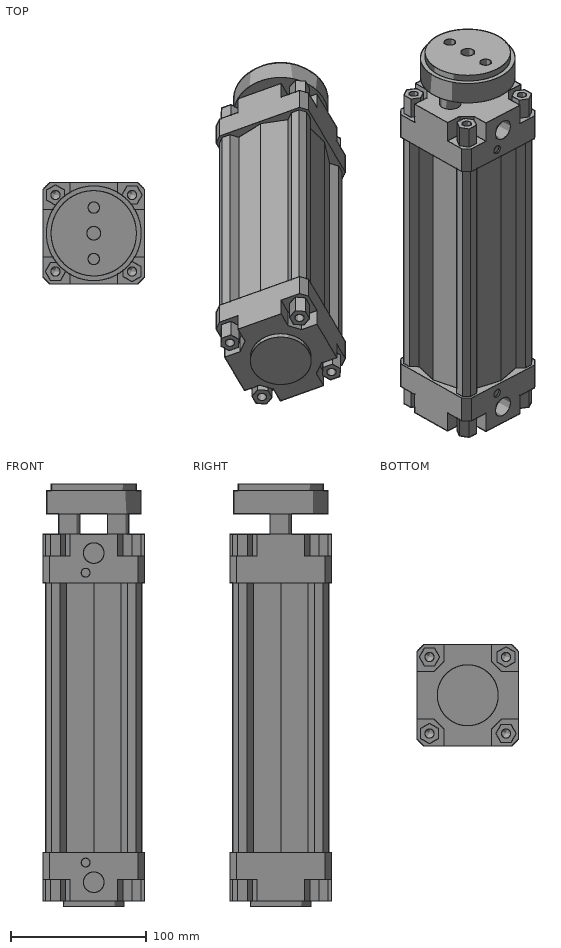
import cadquery as cq
import math


cap_size = 75.0
cap_chamfer = 5.0
cap_height = 36.0
cap_to_cap_length = 271.0

pocket_depth = 16.0
land_width = 35.0
pocket_corner_cut = 7.5

nut_spacing = 56.5
nut_across_flats = 13.0
nut_hole_diameter = 6.75
nut_hole_depth = pocket_depth
drill_point_angle = 118.0

port_diameter = 15.2
port_depth = 12.0
port_from_end = 14.0
screw_hole_diameter = 6.5
screw_hole_depth = 1.5
screw_hole_from_end = 28.5
screw_hole_x = -6.0

barrel_size = 71.0
barrel_chamfer = 4.2
barrel_flat_end = 25.0
groove_depth = 5.0

boss_diameter = 45.0
boss_height = 4.0

rod_diameter = 16.0
rod_spacing = 36.0
rod_visible_length = 15.0
flange_diameter = 70.0
flange_height = 17.0
pilot_diameter = 63.0
pilot_height = 5.0
center_hole_diameter = 10.11
side_hole_diameter = 8.38
side_hole_spacing = 38.0

half_cap = cap_size / 2
half_barrel = barrel_size / 2
half_land = land_width / 2
half_nut_spacing = nut_spacing / 2
nut_across_corners = nut_across_flats / math.cos(math.pi / 6)
barrel_length = cap_to_cap_length - 2 * cap_height
quarter_turns = [0, 90, 180, 270]


def turned(body, angle):
    """Turn a workplane body about the Z axis."""
    return body.rotate((0, 0, 0), (0, 0, 1), angle)


def make_corner_pocket():
    """Pocket volume at the (-X, -Y) corner of the upper cap."""
    inner_cut = half_land + pocket_corner_cut
    return (
        cq.Workplane("XY")
        .workplane(offset=cap_to_cap_length - pocket_depth)
        .polyline([
            (-half_cap, -half_cap),
            (-half_land, -half_cap),
            (-half_land, -inner_cut),
            (-inner_cut, -half_land),
            (-half_cap, -half_land),
        ])
        .close()
        .extrude(pocket_depth)
    )


def make_nut():
    """Hexagonal nut at the (-X, -Y) corner, with two corners pointing along X."""
    return (
        cq.Workplane("XY")
        .workplane(offset=cap_to_cap_length - pocket_depth)
        .center(-half_nut_spacing, -half_nut_spacing)
        .polygon(6, nut_across_corners)
        .extrude(pocket_depth)
    )


def make_nut_hole():
    """Blind drilled hole with a conical bottom, at the (-X, -Y) corner."""
    radius = nut_hole_diameter / 2
    point_length = radius / math.tan(math.radians(drill_point_angle / 2))
    return (
        cq.Workplane("XZ")
        .moveTo(0, 0)
        .lineTo(radius, 0)
        .lineTo(radius, -nut_hole_depth)
        .lineTo(0, -nut_hole_depth - point_length)
        .close()
        .revolve(360, (0, 0), (0, 1))
        .translate((-half_nut_spacing, -half_nut_spacing, cap_to_cap_length))
    )


def make_front_hole(x, from_end, diameter, depth):
    """Flat-bottomed hole volume entering the upper cap from its -Y side."""
    return (
        cq.Workplane("XZ", origin=(x, -half_cap, cap_to_cap_length - from_end))
        .circle(diameter / 2)
        .extrude(-depth)
    )


def make_upper_cap():
    cap = (
        cq.Workplane("XY")
        .workplane(offset=cap_to_cap_length - cap_height)
        .rect(cap_size, cap_size)
        .extrude(cap_height)
        .edges("|Z")
        .chamfer(cap_chamfer)
    )
    for angle in quarter_turns:
        cap = cap.cut(turned(make_corner_pocket(), angle))
        cap = cap.union(turned(make_nut(), angle))
        cap = cap.cut(turned(make_nut_hole(), angle))
    cap = cap.cut(make_front_hole(0, port_from_end, port_diameter, port_depth))
    return cap.cut(
        make_front_hole(screw_hole_x, screw_hole_from_end, screw_hole_diameter, screw_hole_depth)
    )


def make_barrel():
    """Extrusion with chamfered corners and a shallow ridge along the middle of each side."""
    side = [
        (-half_barrel + barrel_chamfer, -half_barrel),
        (-barrel_flat_end, -half_barrel),
        (-barrel_flat_end + groove_depth, -half_barrel + groove_depth),
        (0, -half_barrel),
        (barrel_flat_end - groove_depth, -half_barrel + groove_depth),
        (barrel_flat_end, -half_barrel),
        (half_barrel - barrel_chamfer, -half_barrel),
    ]
    outline = []
    for angle in quarter_turns:
        cosine = math.cos(math.radians(angle))
        sine = math.sin(math.radians(angle))
        outline += [(x * cosine - y * sine, x * sine + y * cosine) for x, y in side]
    return (
        cq.Workplane("XY")
        .workplane(offset=cap_height)
        .polyline(outline)
        .close()
        .extrude(barrel_length)
    )


def make_housing():
    """Barrel with an end cap at each end and the locating boss underneath."""
    upper_cap = make_upper_cap()
    lower_cap = upper_cap.mirror("XY", (0, 0, cap_to_cap_length / 2))
    boss = cq.Workplane("XY").circle(boss_diameter / 2).extrude(-boss_height)
    return make_barrel().union(upper_cap).union(lower_cap).union(boss)


def make_rod_assembly():
    """Two rods standing on the upper cap, joined by a round flange with a pilot on top."""
    flange_bottom = cap_to_cap_length + rod_visible_length
    flange_top = flange_bottom + flange_height
    rods = (
        cq.Workplane("XY")
        .workplane(offset=cap_to_cap_length)
        .pushPoints([(-rod_spacing / 2, 0), (rod_spacing / 2, 0)])
        .circle(rod_diameter / 2)
        .extrude(rod_visible_length)
    )
    flange = (
        cq.Workplane("XY")
        .workplane(offset=flange_bottom)
        .circle(flange_diameter / 2)
        .extrude(flange_height)
    )
    pilot = (
        cq.Workplane("XY")
        .workplane(offset=flange_top)
        .circle(pilot_diameter / 2)
        .extrude(pilot_height)
    )
    holes = (
        cq.Workplane("XY")
        .workplane(offset=flange_bottom)
        .circle(center_hole_diameter / 2)
        .pushPoints([(0, -side_hole_spacing / 2), (0, side_hole_spacing / 2)])
        .circle(side_hole_diameter / 2)
        .extrude(flange_height + pilot_height)
    )
    return flange.union(pilot).cut(holes).union(rods)


housing = make_housing()
rod_assembly = make_rod_assembly()

result = cq.Compound.makeCompound([housing.val(), rod_assembly.val()])